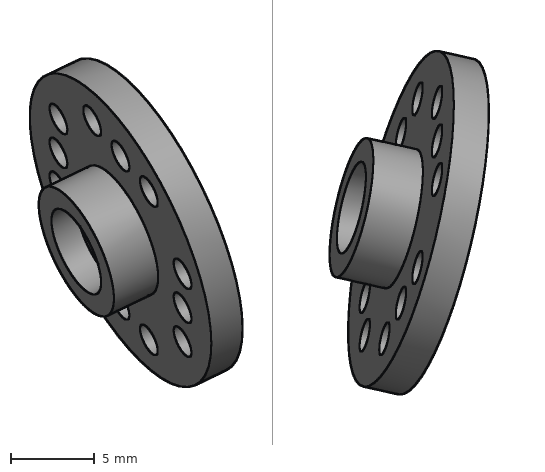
import cadquery as cq

disc_diameter = 20.5
disc_thickness = 2.2

total_length = 5.3
hub_length = total_length - disc_thickness
hub_diameter = 8.5
bore_diameter = 5.6
bore_depth = 1.8

row_count = 4
holes_per_row = 3
hole_diameter = 2.0
hole_spacing = 3.2
row_distance = 7.0


def make_disc():
    """Disc whose hub-side face lies on the XZ plane and whose back face is at +Y."""
    return cq.Workplane("XZ").circle(disc_diameter / 2).extrude(-disc_thickness)


def make_hub():
    """Hub standing out of the disc towards -Y."""
    return cq.Workplane("XZ").circle(hub_diameter / 2).extrude(hub_length)


def make_bore():
    """Blind bore cut in from the free end of the hub."""
    bore_floor = cq.Workplane("XZ", origin=(0, -(hub_length - bore_depth), 0))
    return bore_floor.circle(bore_diameter / 2).extrude(bore_depth)


def make_hole_row(angle):
    """One straight row of through holes, turned about the disc axis by angle."""
    row = (
        cq.Workplane("XZ")
        .center(0, row_distance)
        .rarray(hole_spacing, 1, holes_per_row, 1)
        .circle(hole_diameter / 2)
        .extrude(-disc_thickness)
    )
    return row.rotate((0, 0, 0), (0, 1, 0), angle)


result = make_disc().union(make_hub()).cut(make_bore())
for row_index in range(row_count):
    result = result.cut(make_hole_row(row_index * 360 / row_count))